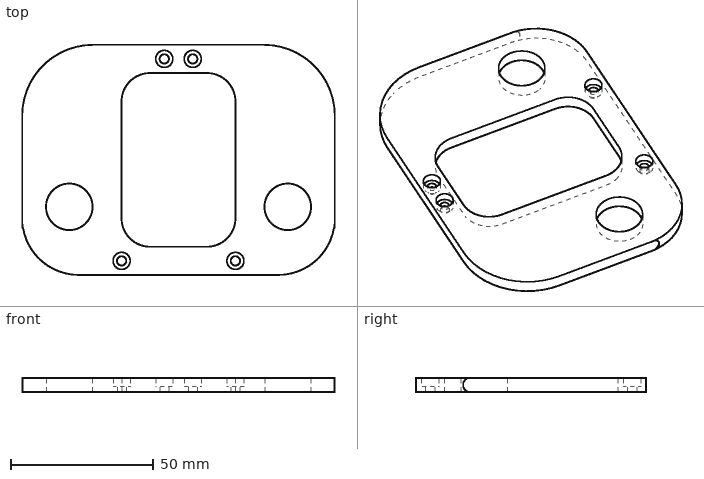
import cadquery as cq

length = 110.0
width = 81.0
thickness = 5.0
rear_corner_radius = 25.0
front_corner_radius = 20.0

window_length = 40.0
window_margin = 10.0
window_width = width - 2 * window_margin
window_corner_radius = 10.0

large_hole_diameter = 16.3
large_hole_spacing = 76.8
large_hole_from_front = 24.0

screw_diameter = 3.2
head_diameter = 6.0
head_depth = 3.0
rear_screw_spacing = 10.0
front_screw_spacing = 40.0
screw_y = (width - window_margin) / 2

pad_diameter = thickness
pad_from_front = 19.1
pad_length = 5.0


def make_plate():
    plate = cq.Workplane("XY").box(length, width, thickness, centered=(True, True, False))
    plate = plate.edges("|Z and >Y").fillet(rear_corner_radius)
    return plate.edges("|Z and <Y").fillet(front_corner_radius)


def make_window():
    window = cq.Workplane("XY").box(window_length, window_width, thickness, centered=(True, True, False))
    return window.edges("|Z").fillet(window_corner_radius)


def pair(spacing, y):
    """Two points mirrored about the Y axis."""
    return [(-spacing / 2, y), (spacing / 2, y)]


def make_side_pads():
    """Short horizontal cylinders that stand just proud of the front corner arcs."""
    pad_y = pad_from_front - width / 2
    left_pad = (
        cq.Workplane("YZ", origin=(-length / 2, pad_y, thickness / 2))
        .circle(pad_diameter / 2)
        .extrude(pad_length)
    )
    return left_pad.union(left_pad.mirror("YZ"))


def make_vertical_holes(points, diameter, depth):
    """Cylinders reaching down from the top face, to be cut away."""
    return (
        cq.Workplane("XY", origin=(0, 0, thickness))
        .pushPoints(points)
        .circle(diameter / 2)
        .extrude(-depth)
    )


large_hole_points = pair(large_hole_spacing, large_hole_from_front - width / 2)
screw_points = pair(rear_screw_spacing, screw_y) + pair(front_screw_spacing, -screw_y)

result = (
    make_plate()
    .union(make_side_pads())
    .cut(make_window())
    .cut(make_vertical_holes(large_hole_points, large_hole_diameter, thickness))
    .cut(make_vertical_holes(screw_points, screw_diameter, thickness))
    .cut(make_vertical_holes(screw_points, head_diameter, head_depth))
)